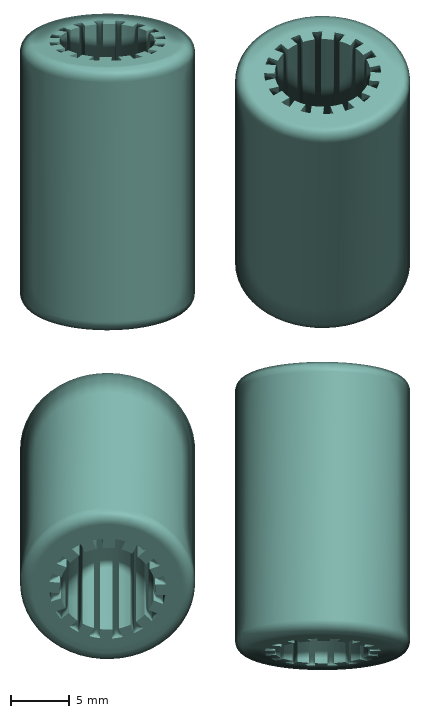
import cadquery as cq

length = 24.0
outer_diameter = 15.0
edge_radius = 1.0

root_diameter = 10.0
tip_diameter = 8.2
tooth_count = 16
tooth_width = 1.05

wall_overlap = 0.25


def make_sleeve():
    """Plain tube along Z with rounded outer rims, centred on the origin."""
    body = cq.Workplane("XY").cylinder(length, outer_diameter / 2)
    body = body.edges("%CIRCLE").fillet(edge_radius)
    bore = cq.Workplane("XY").cylinder(length, root_diameter / 2)
    return body.cut(bore)


def make_teeth():
    """Parallel-sided spline teeth with tips lying on the tip circle."""
    inner_end = tip_diameter / 2 - wall_overlap
    outer_end = root_diameter / 2 + wall_overlap
    teeth = (
        cq.Workplane("XY")
        .polarArray((inner_end + outer_end) / 2, 0, 360, tooth_count)
        .rect(outer_end - inner_end, tooth_width)
        .extrude(length / 2, both=True)
    )
    tip_bore = cq.Workplane("XY").cylinder(length, tip_diameter / 2)
    return teeth.cut(tip_bore)


result = make_sleeve().union(make_teeth())